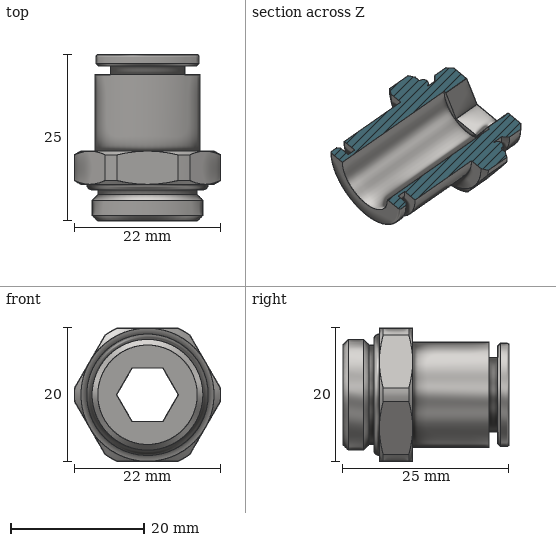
import cadquery as cq
import math

length = 25.0
thread_chamfer = 0.85
thread_flank_start = 3.1
flank_length = 0.85
groove_start = thread_flank_start + flank_length
hex_start = 5.5
hex_width = 5.0
hex_end = hex_start + hex_width
body_end = 22.0
collar_start = 23.25

thread_radius = 8.32
groove_radius = thread_radius - flank_length
seal_section_radius = 0.82
hex_flat_radius = 10.0
hex_corner_radius = 11.0
body_radius = 7.9
neck_radius = 5.6
collar_radius = 7.75

collar_chamfer = 0.42
collar_rounding = 0.35

socket_across_flats = 8.0
socket_depth = 4.25
bore_radius = 5.0
nut_chamfer_angle = 30.0


def cylinder(radius, start, end):
    """Cylinder around the Y axis between two stations."""
    return cq.Workplane("XZ", origin=(0, start, 0)).circle(radius).extrude(start - end)


def hex_prism(across_flats, start, end):
    """Hexagonal prism around the Y axis with corners on the X axis."""
    across_corners = across_flats / math.cos(math.radians(30))
    plane = cq.Workplane("XZ", origin=(0, start, 0))
    return plane.polygon(6, across_corners).extrude(start - end)


def revolve_profile(points):
    """Solid of revolution from (radius, station) points."""
    return cq.Workplane("XY").polyline(points).close().revolve(360, (0, 0, 0), (0, 1, 0))


def threaded_end():
    return revolve_profile([
        (0, 0),
        (thread_radius - thread_chamfer, 0),
        (thread_radius, thread_chamfer),
        (thread_radius, thread_flank_start),
        (groove_radius, groove_start),
        (groove_radius, hex_start),
        (0, hex_start),
    ])


def seal_ring():
    """O-ring resting in the groove, half sunk into the nut face."""
    center_radius = groove_radius + seal_section_radius
    section = cq.Workplane("XY").center(center_radius, hex_start).circle(seal_section_radius)
    return section.revolve(360, (-center_radius, 0, 0), (-center_radius, 1, 0))


def nut():
    """Hexagon with rounded corners and a conical chamfer at both ends."""
    chamfer_depth = hex_corner_radius - hex_flat_radius
    chamfer_length = chamfer_depth * math.tan(math.radians(nut_chamfer_angle))
    envelope = revolve_profile([
        (0, hex_start),
        (hex_flat_radius, hex_start),
        (hex_corner_radius, hex_start + chamfer_length),
        (hex_corner_radius, hex_end - chamfer_length),
        (hex_flat_radius, hex_end),
        (0, hex_end),
    ])
    return hex_prism(2 * hex_flat_radius, hex_start, hex_end).intersect(envelope)


def release_collar():
    collar = revolve_profile([
        (0, collar_start),
        (collar_radius - collar_chamfer, collar_start),
        (collar_radius, collar_start + collar_chamfer),
        (collar_radius, length),
        (0, length),
    ])
    return collar.faces(">Y").edges().fillet(collar_rounding)


body = cylinder(body_radius, hex_end, body_end)
neck = cylinder(neck_radius, body_end, collar_start)
socket = hex_prism(socket_across_flats, 0, socket_depth)
bore = cylinder(bore_radius, socket_depth, length)

fitting = threaded_end().union(seal_ring()).union(nut())
fitting = fitting.union(body).union(neck).union(release_collar())
result = fitting.cut(socket).cut(bore)